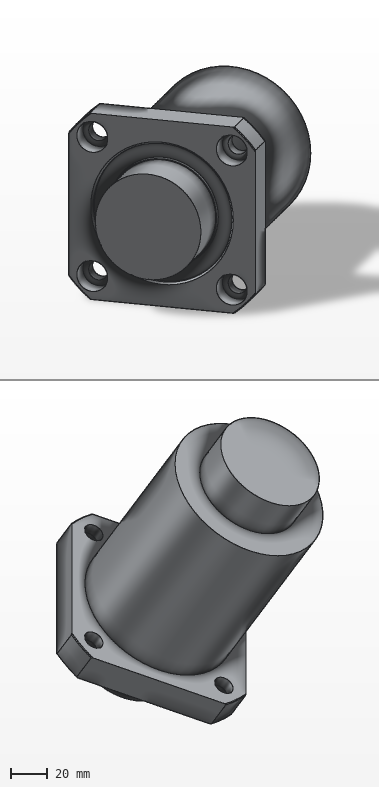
import cadquery as cq
import math

shaft_diameter = 60.0
shaft_overhang = 25.0

bushing_diameter = 90.0
bushing_length = 125.0

flange_width = 106.0
flange_disc_diameter = 134.0
flange_thickness = 18.0
flange_chamfer = 0.5

screw_circle_diameter = 112.0
screw_hole_diameter = 11.0
counterbore_diameter = 17.5
counterbore_depth = 11.0

recess_diameter = 78.7
recess_depth = 3.0
recess_chamfer = 1.15
lip_root_diameter = 62.0
lip_tip_diameter = 61.0
lip_height = 1.5


def cylinder(diameter, start, length):
    """Cylinder on the Y axis from Y = start to Y = start + length."""
    plane = cq.Workplane("XZ", origin=(0, start, 0))
    return plane.circle(diameter / 2).extrude(-length)


def make_flange():
    disc = cylinder(flange_disc_diameter, 0, flange_thickness)
    disc = disc.edges("%CIRCLE").chamfer(flange_chamfer)
    square = cq.Workplane("XZ").rect(flange_width, flange_width).extrude(-flange_thickness)
    return disc.intersect(square)


def make_seal_recess():
    """Ring of material removed in front of the seal, leaving the lip standing."""
    mouth_radius = recess_diameter / 2 + recess_chamfer
    profile = [
        (0, 0),
        (mouth_radius, 0),
        (recess_diameter / 2, recess_chamfer),
        (recess_diameter / 2, recess_depth),
        (lip_root_diameter / 2, recess_depth),
        (lip_tip_diameter / 2, recess_depth - lip_height),
        (0, recess_depth - lip_height),
    ]
    return cq.Workplane("XY").polyline(profile).close().revolve(360, (0, 0, 0), (0, 1, 0))


def make_screw_holes():
    """The four through holes with their counterbores opening at the front."""
    spacing = screw_circle_diameter / math.sqrt(2)
    centers = cq.Workplane("XZ").rect(spacing, spacing, forConstruction=True).vertices()
    through_holes = centers.circle(screw_hole_diameter / 2).extrude(-flange_thickness)
    counterbores = centers.circle(counterbore_diameter / 2).extrude(-counterbore_depth)
    return through_holes.union(counterbores)


bushing = cylinder(bushing_diameter, 0, bushing_length)
shaft_length = bushing_length + 2 * shaft_overhang
shaft = cylinder(shaft_diameter, -shaft_overhang, shaft_length)

result = make_flange().union(bushing)
result = result.cut(make_seal_recess()).cut(make_screw_holes())
result = result.union(shaft)